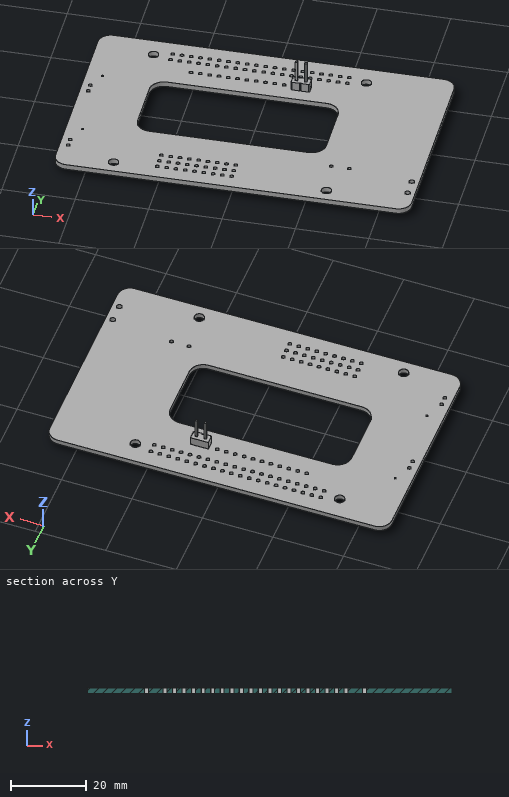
import cadquery as cq

BOARD_LENGTH = 97.1
BOARD_WIDTH = 58.9
BOARD_THICKNESS = 1.6
BOARD_CORNER_RADIUS = 3.6

WINDOW_LENGTH = 51.4
WINDOW_WIDTH = 22.2
WINDOW_CENTER = (-4.9, 1.1)
WINDOW_CORNER_RADIUS = 4.0

PIN_HOLE_DIAMETER = 1.0
PEG_HOLE_DIAMETER = 0.5
TERMINAL_HOLE_DIAMETER = 1.5
MOUNT_HOLE_DIAMETER = 2.7

MOUNT_SPACING_X = 58.0
MOUNT_SPACING_Y = 48.9
MOUNT_CENTER = (-3.8, -1.1)

SOCKET_COLUMNS = 20
SOCKET_ROWS = 2
SOCKET_SPAN = 48.2
SOCKET_CENTER = (MOUNT_CENTER[0], MOUNT_CENTER[1] + MOUNT_SPACING_Y / 2)

PITCH = SOCKET_SPAN / (SOCKET_COLUMNS - 1)

STRIP_HOLES = 11
STRIP_CENTER = (-8.6, 17.8)

GRID_COLUMNS = 9
GRID_ROWS = 3
GRID_CENTER = (-10.9, -22.3)

LEFT_PAIR_X = -46.2
LEFT_PAIR_CENTERS_Y = (5.1, -19.5)

PEG_X = -44.0
PEG_YS = (11.2, -13.0)

RIGHT_PAIR_CENTER = (26.6, -14.8)
RIGHT_PAIR_SPACING = 4.95

TERMINAL_CENTER = (46.5, -19.3)
TERMINAL_SPACING = 5.0

HEADER_PINS = 2
HEADER_CENTER = (8.8, 17.3)
HEADER_HEIGHT = 2.5
HEADER_CHAMFER = 0.25
PIN_WIDTH = 0.64
PIN_ABOVE_HOUSING = 6.0
PIN_BELOW_HOUSING = 3.0


def grid_points(center, columns, rows, spacing_x=PITCH, spacing_y=PITCH):
    """Points of a rectangular grid centred on the given place."""
    center_x, center_y = center
    return [
        (
            center_x + (column - (columns - 1) / 2) * spacing_x,
            center_y + (row - (rows - 1) / 2) * spacing_y,
        )
        for column in range(columns)
        for row in range(rows)
    ]


header_pin_points = grid_points(HEADER_CENTER, HEADER_PINS, 1)


def rounded_plate(length, width, center, corner_radius):
    """Plate of board thickness, standing on Z = 0, with rounded corners."""
    return (
        cq.Workplane("XY")
        .center(*center)
        .rect(length, width)
        .extrude(BOARD_THICKNESS)
        .edges("|Z")
        .fillet(corner_radius)
    )


def hole_cutters(points, diameter):
    """Round cutters through the full board thickness."""
    return cq.Workplane("XY").pushPoints(points).circle(diameter / 2).extrude(BOARD_THICKNESS)


def pin_hole_points():
    """Places of all the pin holes, including those the header pins go through."""
    points = grid_points(SOCKET_CENTER, SOCKET_COLUMNS, SOCKET_ROWS)
    points += grid_points(STRIP_CENTER, STRIP_HOLES, 1)
    points += grid_points(GRID_CENTER, GRID_COLUMNS, GRID_ROWS)
    for center_y in LEFT_PAIR_CENTERS_Y:
        points += grid_points((LEFT_PAIR_X, center_y), 1, 2)
    points += grid_points(RIGHT_PAIR_CENTER, 2, 1, spacing_x=RIGHT_PAIR_SPACING)
    return points + header_pin_points


def make_board():
    """Flat board with its window and all its holes."""
    window = rounded_plate(WINDOW_LENGTH, WINDOW_WIDTH, WINDOW_CENTER, WINDOW_CORNER_RADIUS)
    mount_points = grid_points(MOUNT_CENTER, 2, 2, MOUNT_SPACING_X, MOUNT_SPACING_Y)
    peg_points = [(PEG_X, y) for y in PEG_YS]
    terminal_points = grid_points(TERMINAL_CENTER, 1, 2, spacing_y=TERMINAL_SPACING)
    return (
        rounded_plate(BOARD_LENGTH, BOARD_WIDTH, (0, 0), BOARD_CORNER_RADIUS)
        .cut(window)
        .cut(hole_cutters(pin_hole_points(), PIN_HOLE_DIAMETER))
        .cut(hole_cutters(mount_points, MOUNT_HOLE_DIAMETER))
        .cut(hole_cutters(peg_points, PEG_HOLE_DIAMETER))
        .cut(hole_cutters(terminal_points, TERMINAL_HOLE_DIAMETER))
    )


def header_block(point):
    """Housing block around one pin, with chamfered corners on the -Y side."""
    return (
        cq.Workplane("XY", origin=(*point, BOARD_THICKNESS))
        .rect(PITCH, PITCH)
        .extrude(HEADER_HEIGHT)
        .faces("<Y")
        .edges("|Z")
        .chamfer(HEADER_CHAMFER)
    )


def header_pin(point):
    """Square pin that runs through its housing block and the board."""
    pin_length = PIN_BELOW_HOUSING + HEADER_HEIGHT + PIN_ABOVE_HOUSING
    return (
        cq.Workplane("XY", origin=(*point, BOARD_THICKNESS - PIN_BELOW_HOUSING))
        .rect(PIN_WIDTH, PIN_WIDTH)
        .extrude(pin_length)
    )


def make_header():
    """Pin header standing on the board, its blocks and pins joined into one body."""
    header = cq.Workplane("XY")
    for point in header_pin_points:
        header = header.union(header_block(point)).union(header_pin(point))
    return header


board = make_board()
header = make_header()

result = cq.Compound.makeCompound([board.val(), header.val()])